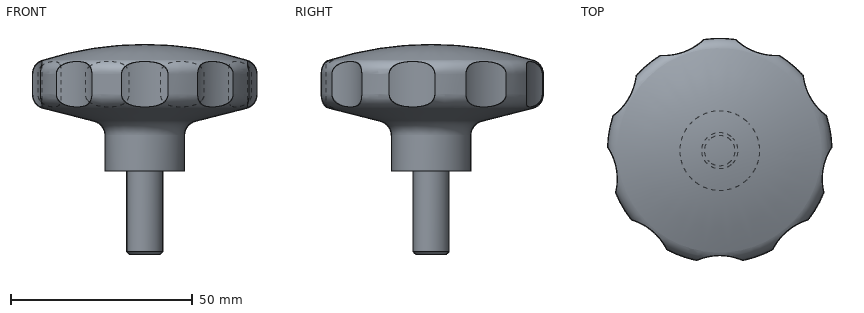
import math
import cadquery as cq


head_radius = 31.0
head_top_z = 35.0
dome_radius = 93.0
rim_corner_radius = 4.0
rim_band_height = 5.6

hub_radius = 11.0
hub_straight_height = 9.9
hub_fillet_radius = 4.0

stud_radius = 5.0
stud_length = 23.0
stud_chamfer = 0.8

grip_count = 9
grip_radius = 16.0
grip_center_radius = 45.0
first_grip_angle = -90.0


def polar(center, radius, angle):
    """Point at the given angle (radians) on a circle in the R-Z half plane."""
    return (
        center[0] + radius * math.cos(angle),
        center[1] + radius * math.sin(angle),
    )


def make_head():
    """Head and hub as one revolved profile whose curves all meet tangentially."""
    dome_center = (0.0, head_top_z - dome_radius)
    corner_r = head_radius - rim_corner_radius
    upper_rise = math.sqrt((dome_radius - rim_corner_radius) ** 2 - corner_r ** 2)
    upper_corner = (corner_r, dome_center[1] + upper_rise)
    lower_corner = (corner_r, upper_corner[1] - rim_band_height)
    hub_fillet = (hub_radius + hub_fillet_radius, hub_straight_height)

    center_dr = lower_corner[0] - hub_fillet[0]
    center_dz = lower_corner[1] - hub_fillet[1]
    radius_sum = rim_corner_radius + hub_fillet_radius
    tangent_swing = math.asin(radius_sum / math.hypot(center_dr, center_dz))
    cone_slope = math.atan2(center_dz, center_dr) - tangent_swing
    cone_normal = cone_slope + math.pi / 2

    dome_edge_angle = math.atan2(upper_rise, corner_r)
    dome_mid_angle = (dome_edge_angle + math.pi / 2) / 2
    lower_mid_angle = (cone_slope - math.pi / 2) / 2
    fillet_mid_angle = (cone_normal + math.pi) / 2

    profile = (
        cq.Workplane("XZ")
        .lineTo(hub_radius, 0)
        .lineTo(hub_radius, hub_straight_height)
        .threePointArc(
            polar(hub_fillet, hub_fillet_radius, fillet_mid_angle),
            polar(hub_fillet, hub_fillet_radius, cone_normal),
        )
        .lineTo(*polar(lower_corner, rim_corner_radius, cone_slope - math.pi / 2))
        .threePointArc(
            polar(lower_corner, rim_corner_radius, lower_mid_angle),
            polar(lower_corner, rim_corner_radius, 0),
        )
        .lineTo(head_radius, upper_corner[1])
        .threePointArc(
            polar(upper_corner, rim_corner_radius, dome_edge_angle / 2),
            polar(upper_corner, rim_corner_radius, dome_edge_angle),
        )
        .threePointArc(
            polar(dome_center, dome_radius, dome_mid_angle),
            (0, head_top_z),
        )
        .close()
    )
    return profile.revolve(360, (0, 0, 0), (0, 1, 0))


def make_grip_cutters():
    """Upright cylinders that scallop the rim."""
    cutters = (
        cq.Workplane("XY")
        .polarArray(grip_center_radius, first_grip_angle, 360, grip_count)
        .circle(grip_radius)
        .extrude(head_top_z)
    )
    return cutters


def make_stud():
    """Plain stud below the hub with a chamfered tip."""
    return (
        cq.Workplane("XY")
        .circle(stud_radius)
        .extrude(-stud_length)
        .faces("<Z")
        .chamfer(stud_chamfer)
    )


result = make_head().cut(make_grip_cutters()).union(make_stud())